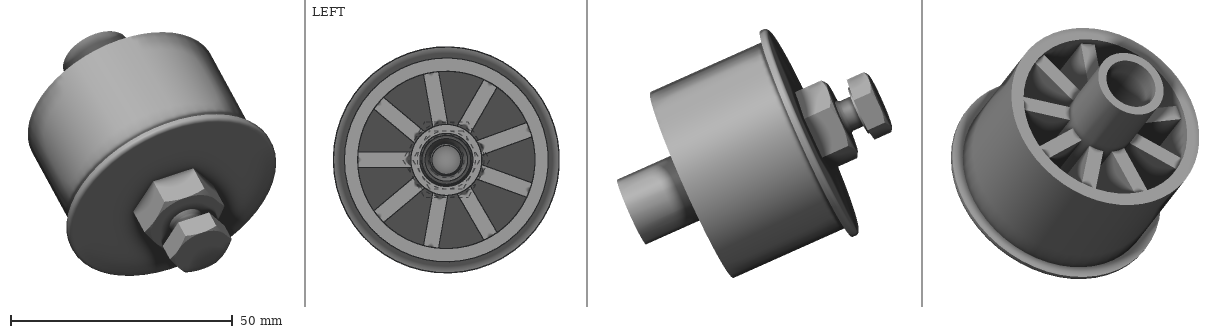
import cadquery as cq
import math


hub_diameter = 16.0
hub_bore = 12.0
rim_diameter = 46.0
rim_bore = 40.0
rim_start = 14.95
flange_diameter = 51.0
flange_start = 43.35
wheel_end = 45.0
flange_fillet = 0.9
spoke_count = 9
spoke_width = 3.45
spoke_start = 16.9

sleeve_start = rim_start
sleeve_chamfer = 0.5
sleeve_hex_flats = 17.0
sleeve_hex_length = 7.2
countersink_diameter = 9.6
seat_opening = 7.3

thread_diameter = 8.0
shank_diameter = 7.3
tip_diameter = 6.5
thread_overhang = 0.4
thread_runout = 0.7
washer_face_diameter = 11.4
washer_face_thickness = 0.55
bolt_hex_flats = 13.1
bolt_hex_length = 4.8
bolt_end = 61.55

hex_sides = 6
hex_chamfer_angle = 30.0

sleeve_end = wheel_end + sleeve_hex_length
countersink_end = sleeve_start + (countersink_diameter - seat_opening) / 2
seat_end = countersink_end + (thread_diameter - seat_opening) / 2
tip_start = seat_end - (thread_diameter - tip_diameter) / 2
bolt_hex_start = bolt_end - bolt_hex_length


def cylinder(diameter, start, end):
    """Solid cylinder on the X axis between two X positions."""
    return cq.Workplane("YZ").workplane(offset=start).circle(diameter / 2).extrude(end - start)


def revolve_profile(points):
    """Turn an outline of (x, radius) points about the X axis."""
    return cq.Workplane("XY").polyline(points).close().revolve(360, (0, 0, 0), (1, 0, 0))


def hex_head(flats, start, end):
    """Hexagonal prism with corners on Y and a conical chamfer on its +X end."""
    corners = flats / math.cos(math.pi / hex_sides)
    prism = cq.Workplane("YZ").workplane(offset=start).polygon(hex_sides, corners).extrude(end - start)
    chamfer_length = (corners - flats) / 2 * math.tan(math.radians(hex_chamfer_angle))
    envelope = revolve_profile([
        (start, 0),
        (start, corners / 2),
        (end - chamfer_length, corners / 2),
        (end, flats / 2),
        (end, 0),
    ])
    return prism.intersect(envelope)


def make_spoke(angle):
    """Flat radial rib that runs from the axis to the inside of the rim."""
    blade = (
        cq.Workplane("XY")
        .box(flange_start - spoke_start, rim_bore, spoke_width, centered=(False, False, True))
        .translate((spoke_start, 0, 0))
        .rotate((0, 0, 0), (1, 0, 0), angle)
    )
    return blade.intersect(cylinder(rim_bore, spoke_start, flange_start))


def make_wheel():
    """Rim closed by the flange, with spokes tying it to a bored hub tube."""
    flange = cylinder(flange_diameter, flange_start, wheel_end).faces(">X").edges().fillet(flange_fillet)
    rim = cylinder(rim_diameter, rim_start, wheel_end)
    cavity = cylinder(rim_bore, rim_start, flange_start)
    wheel = rim.union(flange).cut(cavity)

    for index in range(spoke_count):
        wheel = wheel.union(make_spoke(index * 360 / spoke_count))

    hub = cylinder(hub_diameter, 0, wheel_end)
    return wheel.union(hub).cut(cylinder(hub_bore, 0, wheel_end))


def make_sleeve():
    """Threaded sleeve filling the hub bore, its hexagon seated on the wheel."""
    body = cylinder(hub_bore, sleeve_start, wheel_end).faces("<X").chamfer(sleeve_chamfer)
    head = hex_head(sleeve_hex_flats, wheel_end, sleeve_end)
    bore = revolve_profile([
        (sleeve_start, 0),
        (sleeve_start, countersink_diameter / 2),
        (countersink_end, seat_opening / 2),
        (seat_end, thread_diameter / 2),
        (sleeve_end, thread_diameter / 2),
        (sleeve_end, 0),
    ])
    return body.union(head).cut(bore)


def make_bolt():
    """Bolt whose conical tip rests in the seat at the end of the sleeve bore."""
    thread_end = sleeve_end + thread_overhang
    washer_face_start = bolt_hex_start - washer_face_thickness
    shank = revolve_profile([
        (tip_start, 0),
        (tip_start, tip_diameter / 2),
        (seat_end, thread_diameter / 2),
        (thread_end, thread_diameter / 2),
        (thread_end + thread_runout, shank_diameter / 2),
        (washer_face_start, shank_diameter / 2),
        (washer_face_start, washer_face_diameter / 2),
        (bolt_hex_start, washer_face_diameter / 2),
        (bolt_hex_start, 0),
    ])
    return shank.union(hex_head(bolt_hex_flats, bolt_hex_start, bolt_end))


wheel = make_wheel().solids()
sleeve = make_sleeve().solids()
bolt = make_bolt().solids()

result = cq.Compound.makeCompound([wheel.val(), sleeve.val(), bolt.val()])